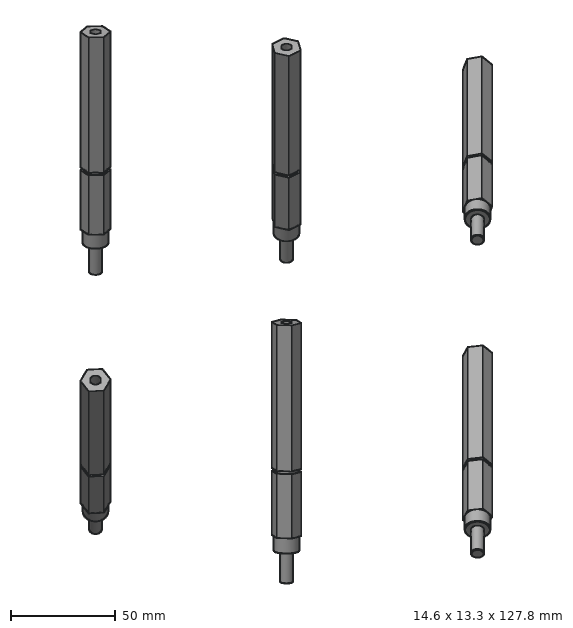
import cadquery as cq
import math

total_length = 127.8
across_flats = 12.7
hex_turn = -5.5
hex_bottom = 23.0

groove_bottom = 54.6
groove_width = 1.4
groove_diameter = 11.4

collar_diameter = 12.5
collar_bottom = 15.3
pin_diameter = 6.4
edge_chamfer = 0.4

hole_diameter = 5.2
hole_depth = 19.2
drill_tip_angle = 118.0


def hexagon(bottom, top):
    across_corners = across_flats / math.cos(math.radians(30))
    prism = cq.Workplane("XY").workplane(offset=bottom).polygon(6, across_corners).extrude(top - bottom)
    return prism.rotate((0, 0, 0), (0, 0, 1), hex_turn)


def cylinder(diameter, bottom, top):
    return cq.Workplane("XY").workplane(offset=bottom).circle(diameter / 2).extrude(top - bottom)


def drilled_hole():
    radius = hole_diameter / 2
    tip_height = radius / math.tan(math.radians(drill_tip_angle / 2))
    cone_top = total_length - hole_depth
    half_section = (
        cq.Workplane("XZ")
        .moveTo(0, total_length)
        .lineTo(radius, total_length)
        .lineTo(radius, cone_top)
        .lineTo(0, cone_top - tip_height)
        .close()
    )
    return half_section.revolve(360, (0, 0, 0), (0, 1, 0))


groove_top = groove_bottom + groove_width
lower_hexagon = hexagon(hex_bottom, groove_bottom)
neck = cylinder(groove_diameter, groove_bottom, groove_top)
upper_hexagon = hexagon(groove_top, total_length)

collar = cylinder(collar_diameter, collar_bottom, hex_bottom).faces("<Z").chamfer(edge_chamfer)
pin = cylinder(pin_diameter, 0, collar_bottom).faces("<Z").chamfer(edge_chamfer)

result = pin.union(collar).union(lower_hexagon).union(neck).union(upper_hexagon)
result = result.cut(drilled_hole())